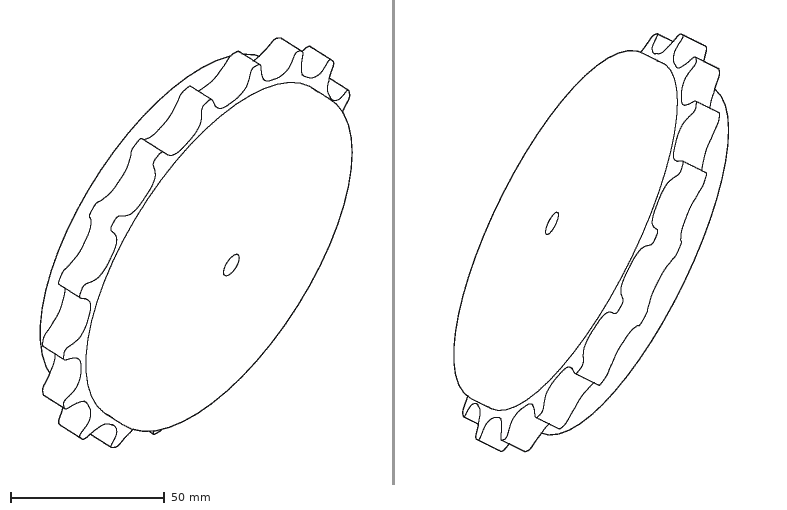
import cadquery as cq
import math

overall_width = 30.0
disc_radius = 63.1
disc_edge_fillet = 2.0
bore_diameter = 8.0

tooth_count = 18
ring_width = 11.0
tip_width = 8.9
tip_radius = 74.2
taper_start_radius = 68.3
root_radius = 65.6
root_half_flat = 1.8
seat_radius = 8.0
flank_lean = 12.0
tip_corner_radius = 2.0

tooth_pitch = 360 / tooth_count
half_pitch = tooth_pitch / 2


def turned(point, degrees):
    """Turn a (y, z) point clockwise about the axis."""
    angle = math.radians(degrees)
    y, z = point
    return (
        y * math.cos(angle) + z * math.sin(angle),
        z * math.cos(angle) - y * math.sin(angle),
    )


def on_circle(center, radius, degrees):
    """Point on a circle at an angle measured from the Y axis."""
    angle = math.radians(degrees)
    return (center[0] + radius * math.cos(angle), center[1] + radius * math.sin(angle))


def right_half_tooth():
    """Points of one tooth side, from the tip flat down to the root flat.

    The tooth stands on the Z axis. The points are: tip flat end, corner middle,
    corner end, seat start, seat middle, seat end.
    """
    seat_center = turned((-root_half_flat, root_radius + seat_radius), half_pitch)
    seat_start_angle = 180 + flank_lean
    seat_end_angle = 270 - half_pitch
    seat_start = on_circle(seat_center, seat_radius, seat_start_angle)
    seat_middle = on_circle(seat_center, seat_radius, (seat_start_angle + seat_end_angle) / 2)
    seat_end = on_circle(seat_center, seat_radius, seat_end_angle)

    lean = math.radians(flank_lean)
    sharp_corner_y = seat_start[0] - (tip_radius - seat_start[1]) * math.tan(lean)
    setback = tip_corner_radius * math.tan((math.pi / 2 - lean) / 2)
    corner_center = (sharp_corner_y - setback, tip_radius - tip_corner_radius)
    tip_end = on_circle(corner_center, tip_corner_radius, 90)
    corner_middle = on_circle(corner_center, tip_corner_radius, (90 + flank_lean) / 2)
    corner_end = on_circle(corner_center, tip_corner_radius, flank_lean)
    return [tip_end, corner_middle, corner_end, seat_start, seat_middle, seat_end]


def tooth_outline():
    """Closed sprocket outline in the YZ plane."""
    right = right_half_tooth()
    left = [(-y, z) for y, z in reversed(right)]
    outline = cq.Workplane("YZ").moveTo(*left[0])
    for tooth in range(tooth_count):
        angle = tooth * tooth_pitch
        rising = [turned(point, angle) for point in left]
        falling = [turned(point, angle) for point in right]
        if tooth > 0:
            outline = outline.lineTo(*rising[0])
        outline = outline.threePointArc(rising[1], rising[2]).lineTo(*rising[3])
        outline = outline.threePointArc(rising[4], rising[5]).lineTo(*falling[0])
        outline = outline.threePointArc(falling[1], falling[2]).lineTo(*falling[3])
        outline = outline.threePointArc(falling[4], falling[5])
    return outline.close()


def tapered_envelope():
    """Turned blank that thins towards the tooth tips."""
    blank_radius = tip_radius + tip_corner_radius
    taper_slope = (ring_width - tip_width) / 2 / (tip_radius - taper_start_radius)
    half_rim = tip_width / 2 - taper_slope * (blank_radius - tip_radius)
    half_ring = ring_width / 2
    return (
        cq.Workplane("XY")
        .moveTo(-half_ring, 0)
        .lineTo(-half_ring, taper_start_radius)
        .lineTo(-half_rim, blank_radius)
        .lineTo(half_rim, blank_radius)
        .lineTo(half_ring, taper_start_radius)
        .lineTo(half_ring, 0)
        .close()
        .revolve(360, (0, 0, 0), (1, 0, 0))
    )


toothed_ring = tooth_outline().extrude(ring_width / 2, both=True).intersect(tapered_envelope())

disc = (
    cq.Workplane("YZ")
    .circle(disc_radius)
    .extrude(overall_width / 2, both=True)
    .edges("%CIRCLE and (<X or >X)")
    .fillet(disc_edge_fillet)
)

bore = cq.Workplane("YZ").circle(bore_diameter / 2).extrude(overall_width, both=True)

result = disc.union(toothed_ring).cut(bore)